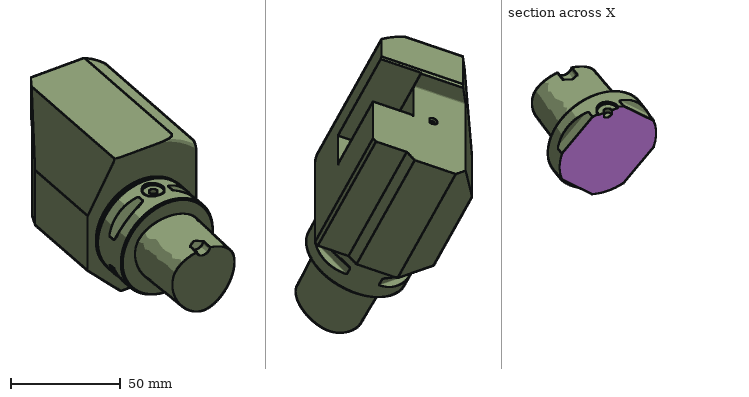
import cadquery as cq
import math


taper_length = 30.0
taper_base_radius = 17.7
taper_end_radius = 16.9
lobe_height = 0.9
profile_points = 72

flange_radius = 50.0 / 2
neck_radius = 49.4 / 2
flange_back_x = -19.7
flange_chamfer = 0.6
flange_back_chamfer = 0.4
neck_land = 0.6
neck_groove_radius = 24.3
head_back_x = -22.0

slot_x = -10.1
slot_floor_radius = 22.4
slot_floor_half_width = 2.0
slot_floor_fillet = 0.8
slot_wall_angle = 28
slot_overcut = 1.3
slot_angles = (45, 135, 225, 315)

recess_x = -12.0
recess_diameter = 10.0
recess_mouth_diameter = 10.5
recess_depth = 1.3
recess_mouth_depth = 0.6
recess_pilot_diameter = 4.0
recess_pilot_depth = 2.5

keyway_radius = 3.7
keyway_length = 5.6
keyway_axis_z = 16.5
drill_half_angle = 59

total_length = 128.0
head_front_x = taper_length - total_length
head_top = 41.1
head_bottom = -32.9
head_y_min = -29.0
head_y_max = 30.0
upper_bevel_z = 15.4
upper_bevel_angle = 60
lower_bevel_z = -15.0
relief_z = -28.9
relief_y = 13.2
relief_edge_chamfer = 1.5
envelope_radius = 45.0
envelope_fillet = 3.1

oblique_end_x = -65.8
oblique_angle = 30

lip_depth = 9.7
lip_underside_z = 19.8
lip_chamfer = 1.2
lip_root_fillet = 1.2

pocket_wall_y = 9.9
pocket_floor_z = -0.6
pocket_top_z = 20.1
pocket_depth = 40.0

axial_hole_diameter = 2.5
axial_hole_mouth_diameter = 4.0
axial_hole_depth = 2.5
axial_hole_mouth_depth = 1.2

step_x = head_front_x + lip_depth


def drilled_hole(diameter, depth, origin, direction):
    """Cylinder with a conical drill tip beyond its full-diameter depth."""
    radius = diameter / 2
    tip = radius / math.tan(math.radians(drill_half_angle))
    profile = (
        cq.Workplane("XY")
        .polyline([(0, 0), (radius, 0), (radius, depth), (0, depth + tip)])
        .close()
        .revolve(360, (0, 0, 0), (0, 1, 0))
    )
    upright = profile.rotate((0, 0, 0), (1, 0, 0), 90)
    target = cq.Plane(origin=origin, xDir=(0, 1, 0), normal=direction)
    return cq.Workplane(obj=upright.val().moved(cq.Location(target)))


def head_prism():
    bevel_run = (head_top - upper_bevel_z) / math.tan(math.radians(upper_bevel_angle))
    lower_run = lower_bevel_z - head_bottom
    relief_rise = relief_z - head_bottom
    section = [
        (head_y_max, head_top),
        (head_y_min + bevel_run, head_top),
        (head_y_min, upper_bevel_z),
        (head_y_min, lower_bevel_z),
        (head_y_min + lower_run, head_bottom),
        (relief_y - relief_rise, head_bottom),
        (relief_y, relief_z),
        (head_y_max - relief_edge_chamfer, relief_z),
        (head_y_max, relief_z + relief_edge_chamfer),
    ]
    return (
        cq.Workplane("YZ", origin=(head_front_x, 0, 0))
        .polyline(section)
        .close()
        .extrude(head_back_x - head_front_x)
    )


def turned_envelope():
    """Cylinder about the spindle axis that rounds the rear and +Y corner of the head."""
    return (
        cq.Workplane("YZ", origin=(head_front_x, 0, 0))
        .circle(envelope_radius)
        .extrude(head_back_x - head_front_x)
        .faces(">X")
        .edges()
        .fillet(envelope_fillet)
    )


def oblique_cut():
    run = oblique_end_x - head_front_x
    rise = run * math.tan(math.radians(oblique_angle))
    return (
        cq.Workplane("XY", origin=(0, 0, head_bottom))
        .polyline([
            (oblique_end_x, head_y_min),
            (head_front_x, head_y_min + rise),
            (head_front_x, head_y_min),
        ])
        .close()
        .extrude(head_top - head_bottom)
    )


def lip_cut():
    """Material removed below the lip, leaving its edge chamfered and its root rounded."""
    return (
        cq.Workplane("XZ", origin=(0, head_y_max, 0))
        .moveTo(head_front_x, head_bottom)
        .lineTo(head_front_x, lip_underside_z + lip_chamfer)
        .lineTo(head_front_x + lip_chamfer, lip_underside_z)
        .lineTo(step_x - lip_root_fillet, lip_underside_z)
        .radiusArc((step_x, lip_underside_z - lip_root_fillet), lip_root_fillet)
        .lineTo(step_x, head_bottom)
        .close()
        .extrude(head_y_max - head_y_min)
    )


def pocket_cut():
    length = lip_depth + pocket_depth
    return cq.Workplane("XY").box(
        length, head_y_max - pocket_wall_y, pocket_top_z - pocket_floor_z, centered=False
    ).translate((head_front_x, pocket_wall_y, pocket_floor_z))


def axial_hole():
    mouth = cq.Workplane(obj=cq.Solid.makeCone(
        axial_hole_mouth_diameter / 2,
        axial_hole_diameter / 2,
        axial_hole_mouth_depth,
        cq.Vector(step_x, 0, 0),
        cq.Vector(1, 0, 0),
    ))
    return drilled_hole(axial_hole_diameter, axial_hole_depth, (step_x, 0, 0), (1, 0, 0)).union(mouth)


def flange():
    return (
        cq.Workplane("XY")
        .polyline([
            (head_back_x, 0),
            (head_back_x, neck_radius),
            (head_back_x + neck_land, neck_radius),
            (head_back_x + neck_land, neck_groove_radius),
            (flange_back_x - flange_back_chamfer, neck_radius),
            (flange_back_x, flange_radius),
            (-flange_chamfer, flange_radius),
            (0, flange_radius - flange_chamfer),
            (0, 0),
        ])
        .close()
        .revolve(360, (0, 0, 0), (1, 0, 0))
    )


def gripper_slot(angle):
    slot_top = flange_radius + slot_overcut
    flare = (slot_top - slot_floor_radius) * math.tan(math.radians(slot_wall_angle))
    top_half_width = slot_floor_half_width + flare
    return (
        cq.Workplane("XZ")
        .polyline([
            (slot_x - slot_floor_half_width, slot_floor_radius),
            (slot_x + slot_floor_half_width, slot_floor_radius),
            (slot_x + top_half_width, slot_top),
            (slot_x - top_half_width, slot_top),
        ])
        .close()
        .extrude(flange_radius, both=True)
        .faces("<Z")
        .edges("|Y")
        .fillet(slot_floor_fillet)
        .rotate((0, 0, 0), (1, 0, 0), angle)
    )


def recess():
    """Round bore with a wider step at its rim and a drilled pilot in its floor."""
    floor_z = flange_radius - recess_depth
    bore = (
        cq.Workplane("XY", origin=(recess_x, 0, floor_z))
        .circle(recess_diameter / 2)
        .extrude(recess_depth)
        .faces(">Z")
        .workplane()
        .circle(recess_mouth_diameter / 2)
        .extrude(-recess_mouth_depth)
    )
    pilot = drilled_hole(
        recess_pilot_diameter, recess_pilot_depth, (recess_x, 0, floor_z), (0, 0, -1)
    )
    return bore.union(pilot)


def lobed_wire(radius, x):
    """Constant-width three-lobed outline with one lobe pointing to -Z."""
    points = []
    for i in range(profile_points):
        t = 2 * math.pi * i / profile_points
        along = radius * math.cos(t) + lobe_height * (2 * math.cos(2 * t) - math.cos(4 * t))
        across = radius * math.sin(t) - lobe_height * (2 * math.sin(2 * t) + math.sin(4 * t))
        points.append(cq.Vector(x, across, -along))
    return cq.Wire.assembleEdges([cq.Edge.makeSpline(points, periodic=True)])


def taper_shank():
    base = lobed_wire(taper_base_radius, 0)
    end = lobed_wire(taper_end_radius, taper_length)
    return cq.Workplane(obj=cq.Solid.makeLoft([base, end], True))


head = head_prism().intersect(turned_envelope())
for cutter in (oblique_cut(), lip_cut(), pocket_cut(), axial_hole()):
    head = head.cut(cutter)

collar = flange().cut(recess())
for slot_angle in slot_angles:
    collar = collar.cut(gripper_slot(slot_angle))

keyway = drilled_hole(
    2 * keyway_radius, keyway_length, (taper_length, 0, keyway_axis_z), (-1, 0, 0)
)
shank = taper_shank().cut(keyway)

result = head.union(collar).union(shank)